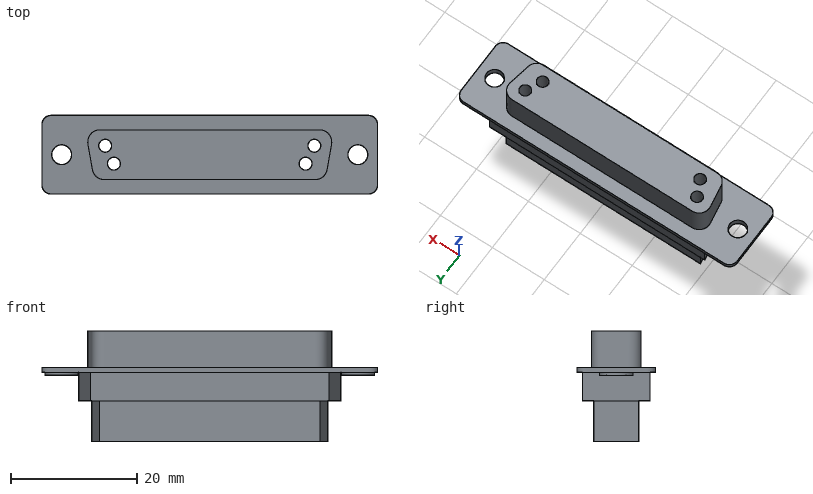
import cadquery as cq
import math

side_angle = math.radians(10)

plate_length = 53.2
plate_width = 12.5
plate_thickness = 0.8
plate_corner_radius = 1.5

mount_hole_spacing = 46.9
mount_hole_diameter = 3.1
collar_diameter = 5.3
collar_height = 0.45

shell_length = 38.0
shell_width = 7.9
shell_height = 5.8
shell_corner_radius = 1.95

housing_length = 39.65
housing_width = 10.7
housing_height = 4.5

rear_length = 36.15
rear_width = 7.2
rear_height = 6.45

contact_diameter = 2.0
contact_pitch = 2.76
contact_row_spacing = 2.84
back_row_count = 13
front_row_count = 12

housing_bottom = -housing_height
rear_bottom = housing_bottom - rear_height
shell_top = plate_thickness + shell_height


def d_prism(length, width, bottom, height):
    """Prism with a symmetric trapezoid outline, longer on its +Y side."""
    half_width = width / 2
    lean = half_width * math.tan(side_angle)
    back_half = length / 2 + lean
    front_half = length / 2 - lean
    corners = [
        (-back_half, half_width),
        (back_half, half_width),
        (front_half, -half_width),
        (-front_half, -half_width),
    ]
    return cq.Workplane("XY").workplane(offset=bottom).polyline(corners).close().extrude(height)


def mounting_plate():
    plate = cq.Workplane("XY").rect(plate_length, plate_width).extrude(plate_thickness)
    return plate.edges("|Z").fillet(plate_corner_radius)


def mount_cylinders(diameter, bottom, height):
    """One upright cylinder at each mounting hole."""
    centers = [(side * mount_hole_spacing / 2, 0) for side in (-1, 1)]
    plane = cq.Workplane("XY").workplane(offset=bottom)
    return plane.pushPoints(centers).circle(diameter / 2).extrude(height)


def contact_holes():
    """Through holes at both ends of each contact row."""
    centers = []
    for row_side, count in ((1, back_row_count), (-1, front_row_count)):
        end_x = (count - 1) * contact_pitch / 2
        row_y = row_side * contact_row_spacing / 2
        centers += [(-end_x, row_y), (end_x, row_y)]
    plane = cq.Workplane("XY").workplane(offset=rear_bottom)
    return plane.pushPoints(centers).circle(contact_diameter / 2).extrude(shell_top - rear_bottom)


shell = d_prism(shell_length, shell_width, plate_thickness, shell_height)
shell = shell.edges("|Z").fillet(shell_corner_radius)
housing = d_prism(housing_length, housing_width, housing_bottom, housing_height)
rear_block = d_prism(rear_length, rear_width, rear_bottom, rear_height)
collars = mount_cylinders(collar_diameter, -collar_height, collar_height)
mount_holes = mount_cylinders(mount_hole_diameter, -collar_height, collar_height + plate_thickness)

body = mounting_plate().union(shell).union(housing).union(rear_block).union(collars)
result = body.cut(mount_holes).cut(contact_holes())